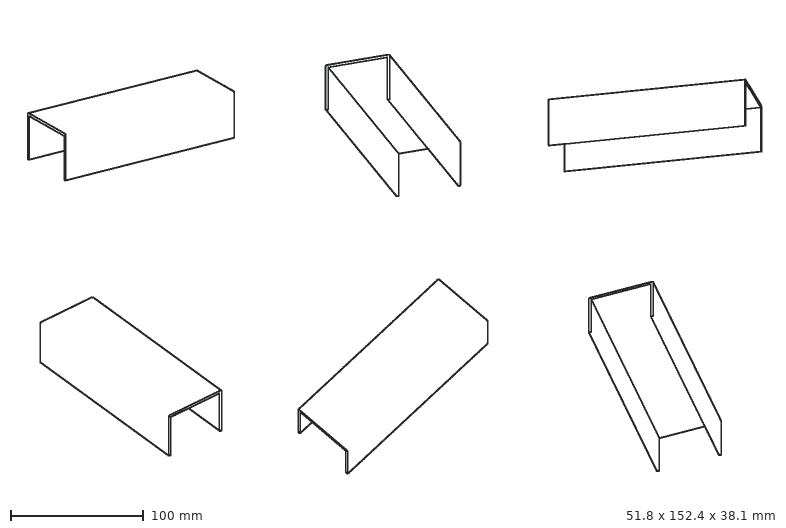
import cadquery as cq

length = 152.4
width = 51.8
height = 38.1
wall = 2.3

corner_radius = 1.5
tip_radius = wall / 2

outer_x = width / 2
inner_x = outer_x - wall
tip_center_x = outer_x - tip_radius
ceiling_z = height - wall

profile = (
    cq.Workplane("XZ")
    .moveTo(-outer_x, tip_radius)
    .lineTo(-outer_x, height)
    .lineTo(outer_x, height)
    .lineTo(outer_x, tip_radius)
    .threePointArc((tip_center_x, 0), (inner_x, tip_radius))
    .lineTo(inner_x, ceiling_z)
    .lineTo(-inner_x, ceiling_z)
    .lineTo(-inner_x, tip_radius)
    .threePointArc((-tip_center_x, 0), (-outer_x, tip_radius))
    .close()
)

channel = profile.extrude(length / 2, both=True)

result = channel.edges("|Y and >Z").fillet(corner_radius)